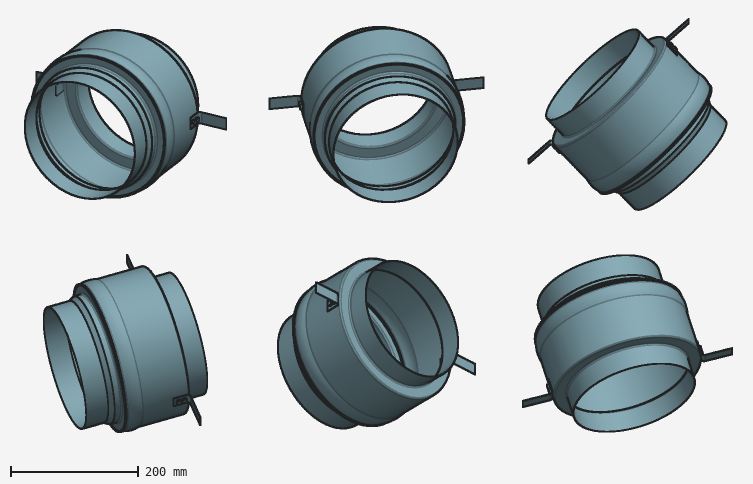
import cadquery as cq
import math

sheet = 1.0

spigot_radius = 100.0
neck_radius = 105.0
casing_radius = 121.0
bead_diameter = 246.0
bead_radius = bead_diameter / 2

cone_start = 37.0
cone_end = 45.8
front_flange = 57.0
bead_start = 62.2
bead_end = 87.0
back_flange = 165.2
sleeve_length = 202.0

neck_bend = 2.0
rim_bend = 2.7
spigot_bend = 1.7

lip_thickness = 0.7
groove_depth = 2.0

overall_width = 342.0
strap_width = 20.0
strap_front = 137.8
strap_bend = 4.5

rivet_diameter = 8.5
rivet_pitch = 9.0
rivet_height = 3.5
back_rivet_y = 155.0

DIAGONAL = math.sqrt(0.5)


def bend_middle(center, radius, side_x, side_y):
    """Middle point of a quarter bend lying on the given sides of its center."""
    return (center[0] + side_x * radius * DIAGONAL, center[1] + side_y * radius * DIAGONAL)


def make_sleeve():
    """Thin shell of revolution: front spigot, neck, beaded casing, back spigot."""
    neck_center = (neck_radius + neck_bend, front_flange - neck_bend)
    rim_center = (casing_radius - rim_bend, back_flange - rim_bend)
    spigot_center = (spigot_radius + spigot_bend, back_flange + spigot_bend)
    lip_inner = casing_radius - lip_thickness
    groove_bottom = front_flange + groove_depth
    groove_bend = groove_depth
    groove_center = (lip_inner - groove_bend, groove_bottom)
    bead_middle = (bead_start + bead_end) / 2

    inner_spigot = spigot_radius - sheet
    inner_neck = neck_radius - sheet
    inner_casing = casing_radius - sheet

    outline = (
        cq.Workplane("XY")
        .moveTo(spigot_radius, 0)
        .lineTo(spigot_radius, cone_start)
        .lineTo(neck_radius, cone_end)
        .lineTo(neck_radius, neck_center[1])
        .threePointArc(bend_middle(neck_center, neck_bend, -1, 1), (neck_center[0], front_flange))
        .lineTo(groove_center[0], front_flange)
        .threePointArc(bend_middle(groove_center, groove_bend, 1, -1), (lip_inner, groove_bottom))
        .lineTo(lip_inner, front_flange)
        .lineTo(casing_radius, front_flange)
        .lineTo(casing_radius, bead_start)
        .threePointArc((bead_radius, bead_middle), (casing_radius, bead_end))
        .lineTo(casing_radius, rim_center[1])
        .threePointArc(bend_middle(rim_center, rim_bend, 1, 1), (rim_center[0], back_flange))
        .lineTo(spigot_center[0], back_flange)
        .threePointArc(
            bend_middle(spigot_center, spigot_bend, -1, -1), (spigot_radius, spigot_center[1])
        )
        .lineTo(spigot_radius, sleeve_length)
        .lineTo(inner_spigot, sleeve_length)
        .lineTo(inner_spigot, spigot_center[1])
        .threePointArc(
            bend_middle(spigot_center, spigot_bend + sheet, -1, -1),
            (spigot_center[0], back_flange - sheet),
        )
        .lineTo(rim_center[0], back_flange - sheet)
        .threePointArc(
            bend_middle(rim_center, rim_bend - sheet, 1, 1), (inner_casing, rim_center[1])
        )
        .lineTo(inner_casing, bead_end)
        .threePointArc((bead_radius - sheet, bead_middle), (inner_casing, bead_start))
        .lineTo(inner_casing, groove_bottom + sheet)
        .lineTo(groove_center[0], front_flange + sheet)
        .lineTo(neck_center[0], front_flange + sheet)
        .threePointArc(
            bend_middle(neck_center, neck_bend + sheet, -1, 1), (inner_neck, neck_center[1])
        )
        .lineTo(inner_neck, cone_end)
        .lineTo(inner_spigot, cone_start)
        .lineTo(inner_spigot, 0)
        .close()
    )
    return outline.revolve(360, (0, 0, 0), (0, 1, 0))


def make_bracket():
    """Bent strap on the +X side of the casing, with its two rivets."""
    strap_outer = casing_radius + sheet
    arm_front = back_flange - sheet
    arm_end = overall_width / 2
    bend_center = (strap_outer + strap_bend, arm_front - strap_bend)
    strap = (
        cq.Workplane("XY")
        .moveTo(casing_radius, strap_front)
        .lineTo(strap_outer, strap_front)
        .lineTo(strap_outer, bend_center[1])
        .threePointArc(bend_middle(bend_center, strap_bend, -1, 1), (bend_center[0], arm_front))
        .lineTo(arm_end, arm_front)
        .lineTo(arm_end, back_flange)
        .lineTo(bend_center[0], back_flange)
        .threePointArc(
            bend_middle(bend_center, strap_bend + sheet, -1, 1), (casing_radius, bend_center[1])
        )
        .close()
        .extrude(strap_width / 2, both=True)
    )
    rivets = (
        cq.Workplane("YZ", origin=(strap_outer, 0, 0))
        .pushPoints([(back_rivet_y, 0), (back_rivet_y - rivet_pitch, 0)])
        .circle(rivet_diameter / 2)
        .extrude(rivet_height)
    )
    return strap.union(rivets)


sleeve = make_sleeve()
brackets = [make_bracket().rotate((0, 0, 0), (0, 1, 0), angle) for angle in (0, 180)]

result = cq.Compound.makeCompound([sleeve.val(), *[bracket.val() for bracket in brackets]])